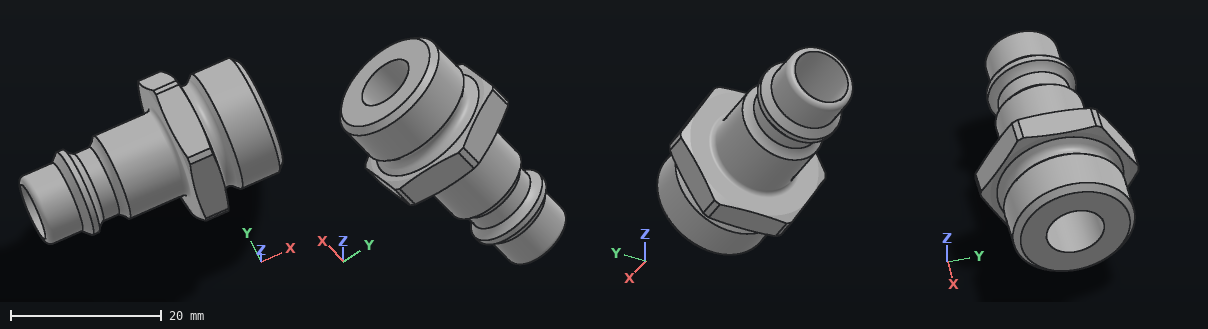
import cadquery as cq
import math

length = 33.1
cone_start = 5.0
collar_start = 6.1
collar_end = 7.0
groove_start = 8.08
groove_end = 10.35
body_start = 11.5
hex_start = 20.0
hex_end = 24.0
relief_center = 25.35
relief_end = 26.2
thread_start = 26.8

bore_radius = 7.85 / 2
tip_radius = 9.9 / 2
groove_radius = 9.75 / 2
body_radius = 12.0 / 2
relief_bottom_radius = 7.3
thread_radius = 16.6 / 2

tip_fillet = 0.8
neck_fillet = 0.73
groove_flank_radius = 3.0
relief_arc_radius = 1.05
relief_flank_angle = math.radians(60)
thread_chamfer = 0.85

across_flats = 19.0
across_corners = 21.4
hex_chamfer_angle = math.radians(15)

COS_45 = math.cos(math.radians(45))


def fillet_middle(center_x, center_r, radius, x_side, r_side):
    """Midpoint of a quarter arc; the signs select its quadrant."""
    return (center_x + x_side * radius * COS_45, center_r + r_side * radius * COS_45)


def relief_radius_at(x):
    """Radius of the relief's rounded bottom at axial station x."""
    rise = relief_arc_radius - math.sqrt(relief_arc_radius**2 - (x - relief_center) ** 2)
    return relief_bottom_radius + rise


def make_turned_body():
    """Revolve the outer profile, from the plug tip to the thread end."""
    tip_middle = fillet_middle(tip_fillet, tip_radius - tip_fillet, tip_fillet, -1, 1)
    neck_middle = fillet_middle(
        hex_start - neck_fillet, body_radius + neck_fillet, neck_fillet, 1, -1
    )

    arc_start = relief_center - relief_arc_radius * math.sin(relief_flank_angle)
    arc_start_radius = relief_radius_at(arc_start)
    flank_radius = arc_start_radius + (arc_start - hex_end) * math.tan(relief_flank_angle)

    profile = (
        cq.Workplane("XY")
        .moveTo(0, 0)
        .lineTo(0, tip_radius - tip_fillet)
        .threePointArc(tip_middle, (tip_fillet, tip_radius))
        .lineTo(cone_start, tip_radius)
        .lineTo(collar_start, body_radius)
        .lineTo(collar_end, body_radius)
        .radiusArc((groove_start, groove_radius), -groove_flank_radius)
        .lineTo(groove_end, groove_radius)
        .radiusArc((body_start, body_radius), -groove_flank_radius)
        .lineTo(hex_start - neck_fillet, body_radius)
        .threePointArc(neck_middle, (hex_start, body_radius + neck_fillet))
        .lineTo(hex_end, body_radius + neck_fillet)
        .lineTo(hex_end, flank_radius)
        .lineTo(arc_start, arc_start_radius)
        .threePointArc(
            (relief_center, relief_bottom_radius),
            (relief_end, relief_radius_at(relief_end)),
        )
        .lineTo(thread_start, thread_radius)
        .lineTo(length - thread_chamfer, thread_radius)
        .lineTo(length, thread_radius - thread_chamfer)
        .lineTo(length, 0)
        .close()
    )
    return profile.revolve(360, (0, 0, 0), (1, 0, 0))


def make_hexagon():
    """Hexagon with corners along Y, turned down and chamfered on both faces."""
    prism = (
        cq.Workplane("YZ", origin=(hex_start, 0, 0))
        .polygon(6, across_flats / math.cos(math.radians(30)))
        .extrude(hex_end - hex_start)
    )
    face_radius = across_flats / 2
    corner_radius = across_corners / 2
    chamfer_depth = (corner_radius - face_radius) * math.tan(hex_chamfer_angle)
    envelope = (
        cq.Workplane("XY")
        .moveTo(hex_start, 0)
        .lineTo(hex_start, face_radius)
        .lineTo(hex_start + chamfer_depth, corner_radius)
        .lineTo(hex_end - chamfer_depth, corner_radius)
        .lineTo(hex_end, face_radius)
        .lineTo(hex_end, 0)
        .close()
        .revolve(360, (0, 0, 0), (1, 0, 0))
    )
    return prism.intersect(envelope)


bore = cq.Workplane("YZ").circle(bore_radius).extrude(length)

result = make_turned_body().union(make_hexagon()).cut(bore)